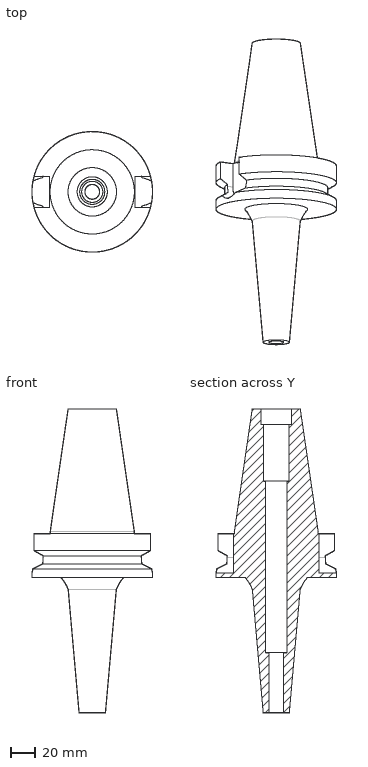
import cadquery as cq
import math


GAUGE_DIA = 69.85
TAPER_RATIO = 7 / 24
TAPER_LENGTH = 101.8
TAPER_SMALL_DIA = GAUGE_DIA - TAPER_RATIO * TAPER_LENGTH

FLANGE_DIA = 100.0
FLANGE_TOP_Z = -1.5
FLANGE_BOTTOM_Z = -38.0
GROOVE_DIA = 85.5
GROOVE_CENTER_Z = -23.2
GROOVE_MOUTH = 15.0
GROOVE_WALL_ANGLE = 30.0

SLOT_WIDTH = 25.7
SLOT_FLOOR_X = 35.4
SLOT_ARC_CENTER_Z = -21.3

PROJECTION = 150.0
NOSE_END_Z = -PROJECTION
NOSE_END_DIA = 22.0
NOSE_ROOT_DIA = 40.0
NOSE_ROOT_Z = -48.0
ROOT_FLARE_DIA = 52.0
FLARE_RADIUS = 30.0

PILOT_DIA = 25.0
PILOT_DEPTH = 13.0
THREAD_DIA = 20.75
THREAD_DEPTH = 60.0
CLEARANCE_DIA = 17.5
TOOL_BORE_DIA = 12.0
TOOL_BORE_LENGTH = 50.0
TOTAL_LENGTH = TAPER_LENGTH + PROJECTION


def make_body():
    """Solid of revolution: taper, grooved flange, flare and nose."""
    rim = FLANGE_DIA / 2
    groove_floor = GROOVE_DIA / 2
    groove_top = GROOVE_CENTER_Z + GROOVE_MOUTH / 2
    groove_bottom = GROOVE_CENTER_Z - GROOVE_MOUTH / 2
    wall_drop = (rim - groove_floor) * math.tan(math.radians(GROOVE_WALL_ANGLE))
    return (
        cq.Workplane("XZ")
        .moveTo(0, TAPER_LENGTH)
        .lineTo(TAPER_SMALL_DIA / 2, TAPER_LENGTH)
        .lineTo(GAUGE_DIA / 2, 0)
        .lineTo(GAUGE_DIA / 2, FLANGE_TOP_Z)
        .lineTo(rim, FLANGE_TOP_Z)
        .lineTo(rim, groove_top)
        .lineTo(groove_floor, groove_top - wall_drop)
        .lineTo(groove_floor, groove_bottom + wall_drop)
        .lineTo(rim, groove_bottom)
        .lineTo(rim, FLANGE_BOTTOM_Z)
        .lineTo(ROOT_FLARE_DIA / 2, FLANGE_BOTTOM_Z)
        .radiusArc((NOSE_ROOT_DIA / 2, NOSE_ROOT_Z), -FLARE_RADIUS)
        .lineTo(NOSE_END_DIA / 2, NOSE_END_Z)
        .lineTo(0, NOSE_END_Z)
        .close()
        .revolve(360, (0, 0, 0), (0, 1, 0))
    )


def drive_slot(side):
    """Round-bottomed radial slot cutter, open upwards; side is +1 or -1 along X."""
    half_width = SLOT_WIDTH / 2
    return (
        cq.Workplane("YZ", origin=(side * SLOT_FLOOR_X, 0, 0))
        .moveTo(-half_width, FLANGE_TOP_Z)
        .lineTo(-half_width, SLOT_ARC_CENTER_Z)
        .threePointArc((0, SLOT_ARC_CENTER_Z - half_width), (half_width, SLOT_ARC_CENTER_Z))
        .lineTo(half_width, FLANGE_TOP_Z)
        .close()
        .extrude(side * (FLANGE_DIA / 2 - SLOT_FLOOR_X))
    )


def bore_step(diameter, depth):
    """Cylinder reaching down the axis from the small end of the taper."""
    return (
        cq.Workplane("XY", origin=(0, 0, TAPER_LENGTH))
        .circle(diameter / 2)
        .extrude(-depth)
    )


result = make_body()

for side in (-1, 1):
    result = result.cut(drive_slot(side))

for diameter, depth in (
    (PILOT_DIA, PILOT_DEPTH),
    (THREAD_DIA, THREAD_DEPTH),
    (CLEARANCE_DIA, TOTAL_LENGTH - TOOL_BORE_LENGTH),
    (TOOL_BORE_DIA, TOTAL_LENGTH),
):
    result = result.cut(bore_step(diameter, depth))